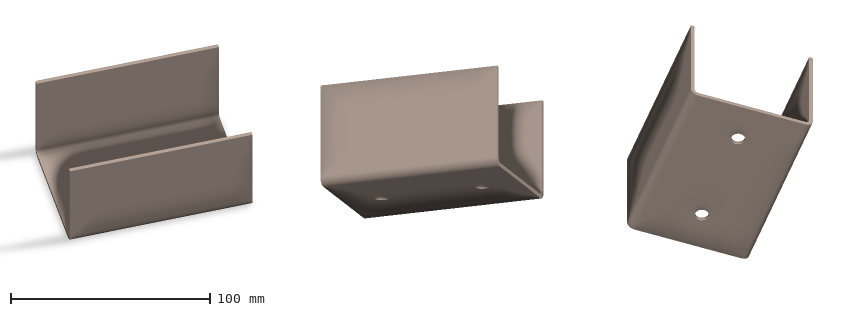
import cadquery as cq

width = 65.0
length = 95.0
height = 52.0

thickness = 2.0
inner_bend_radius = 2.0
outer_bend_radius = inner_bend_radius + thickness

hole_diameter = 7.0
hole_spacing = 54.0


def rounded_trough(trough_width, floor_height, bend_radius):
    """Solid block along Y, from the floor to the top, with rounded lower edges."""
    trough_height = height - floor_height
    return (
        cq.Workplane("XY")
        .workplane(offset=floor_height)
        .box(trough_width, length, trough_height, centered=(True, True, False))
        .edges("|Y and <Z")
        .fillet(bend_radius)
    )


def mounting_holes():
    """Two cylinders that pass through the base."""
    return (
        cq.Workplane("XY")
        .rarray(0.95, hole_spacing, 1, 2)
        .circle(hole_diameter / 2)
        .extrude(thickness)
    )


outside = rounded_trough(width, 0, outer_bend_radius)
inside = rounded_trough(width - 2 * thickness, thickness, inner_bend_radius)

result = outside.cut(inside).cut(mounting_holes())